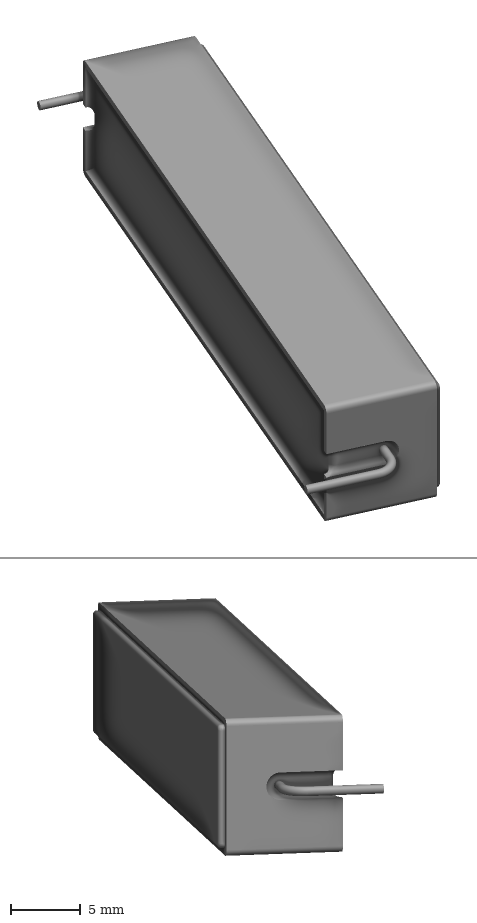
import cadquery as cq
import math

overall_length = 53.3
overall_depth = 11.5

case_length = 47.95
case_height = 10.0
case_depth = 8.55
wall = 0.5
corner_radius = 0.5
lip_depth = 0.5
lip_corner_radius = 0.35
lip_edge_radius = 0.25

recess_depth = 0.55
meniscus_radius = 0.5
notch_width = 2.0

lead_diameter = 0.7
bend_radius = 1.5
lead_height = 4.6
lead_embedding = 1.05

front_tip_y = -overall_depth / 2
back_y = overall_depth / 2
case_back_y = back_y - lip_depth
case_front_y = case_back_y - case_depth
lead_y = case_front_y + lead_height
floor_y = case_front_y + recess_depth
potting_end_x = case_length / 2 - wall


def block(length, height, front_y, depth):
    """Box centred in X and Z that runs from front_y towards +Y."""
    return cq.Workplane("XY").box(length, depth, height).translate((0, front_y + depth / 2, 0))


def make_case():
    """Solid case with rounded long corners and a smaller raised panel on the back."""
    case = block(case_length, case_height, case_front_y, case_depth)
    case = case.edges("|Y").fillet(corner_radius)
    inset = 2 * wall
    lip = block(case_length - inset, case_height - inset, case_back_y, lip_depth)
    lip = lip.edges("|Y").fillet(lip_corner_radius)
    return case.union(lip.faces(">Y").edges().fillet(lip_edge_radius))


def make_notch():
    """Round-ended space through the +X end wall that flows over a rounded potting edge into the recess."""
    radius = notch_width / 2
    margin = 3 * meniscus_radius
    outer_x = potting_end_x + margin
    open_y = case_front_y - margin
    rounding = meniscus_radius
    diagonal = rounding * math.sqrt(0.5)
    round_x = potting_end_x - rounding
    round_y = floor_y + rounding
    potting_profile = (
        cq.Workplane("XY")
        .moveTo(round_x - margin, open_y)
        .lineTo(round_x - margin, floor_y)
        .lineTo(round_x, floor_y)
        .threePointArc((round_x + diagonal, round_y - diagonal), (potting_end_x, round_y))
        .lineTo(potting_end_x, case_back_y)
        .lineTo(outer_x, case_back_y)
        .lineTo(outer_x, open_y)
        .close()
        .extrude(radius, both=True)
    )
    slot = (
        cq.Workplane("YZ")
        .moveTo(open_y, -radius)
        .lineTo(lead_y, -radius)
        .threePointArc((lead_y + radius, 0), (lead_y, radius))
        .lineTo(open_y, radius)
        .close()
        .extrude(outer_x)
    )
    notch = potting_profile.intersect(slot)
    edge_margin = 0.005
    meniscus_edges = notch.edges(
        cq.selectors.BoxSelector(
            (round_x - margin + edge_margin, floor_y - edge_margin, -radius - edge_margin),
            (potting_end_x + edge_margin, back_y, radius + edge_margin),
        )
    )
    return meniscus_edges.fillet(meniscus_radius)


def make_recess():
    """Space in front of the potting, with curved rims where the potting meets the walls."""
    recess = block(2 * potting_end_x, case_height - 2 * wall, case_front_y, recess_depth)
    recess = recess.faces(">Y").edges().fillet(meniscus_radius)
    notch = make_notch()
    return recess.union(notch).union(notch.mirror("YZ"))


def make_lead(side):
    """Lead that leaves one end of the case and bends towards -Y."""
    tip_x = side * (overall_length - lead_diameter) / 2
    bend_x = tip_x - side * bend_radius
    bend_y = lead_y - bend_radius
    diagonal = bend_radius * math.sqrt(0.5)
    start_x = side * (potting_end_x - lead_embedding)
    path = (
        cq.Workplane("XY")
        .moveTo(start_x, lead_y)
        .lineTo(bend_x, lead_y)
        .threePointArc((bend_x + side * diagonal, bend_y + diagonal), (tip_x, bend_y))
        .lineTo(tip_x, front_tip_y)
    )
    section = cq.Workplane("YZ", origin=(start_x, lead_y, 0)).circle(lead_diameter / 2)
    return section.sweep(path)


result = make_case().cut(make_recess())
for end in (-1, 1):
    result = result.union(make_lead(end))